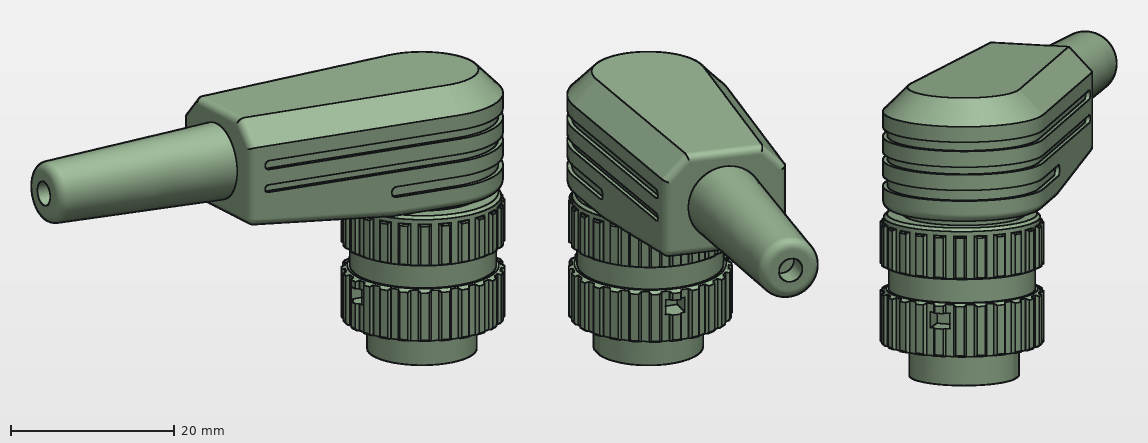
import cadquery as cq
import math


COLLAR_BOTTOM = 4.2
LOWER_KNURL_TOP = 10.8
UPPER_KNURL_BOTTOM = 13.75
UPPER_KNURL_TOP = 19.2
COLLAR_TOP = 20.2
HOUSING_BOTTOM = 21.0
HOUSING_TOP = 36.0

HOUSING_RADIUS = 9.95
SIDE_TAPER = math.radians(4.0)
HOUSING_FRONT = -29.45
TOP_CHAMFER = 3.0
EDGE_ROUND = 0.95
SLOPE_START = -9.4
SLOPE_RISE = 1.85

GROOVE_DEPTH = 0.6
GROOVES = [
    (30.5, 1.15, -27.4),
    (27.45, 0.95, -27.4),
    (24.35, 1.35, -9.95),
]

NECK_DIAMETER = 15.0
PLUG_DIAMETER = 13.5
PLUG_FLAT_WIDTH = 2.3

COLLAR_OFFSET = 0.25
WAIST_DIAMETER = 18.0
ROOT_DIAMETER = 19.2
RIDGE_DIAMETER = 20.05
SHOULDER_CHAMFER = 0.4
WAIST_FACE_DIAMETER = 18.65
WAIST_BEVEL_HEIGHT = 0.3
RIDGE_COUNT = 24
RIDGE_BASE_WIDTH = 1.55
RIDGE_TIP_WIDTH = 1.0
RIDGE_CHAMFER = 0.2

OVERALL_LENGTH = 64.3
CABLE_END = RIDGE_DIAMETER / 2 - OVERALL_LENGTH
CABLE_HEIGHT = 29.2
CABLE_ROOT_DIAMETER = 9.65
CABLE_TIP_DIAMETER = 7.65
CABLE_BORE = 3.0
CABLE_BORE_DEPTH = 3.2
CABLE_TIP_ROUND = 1.2

WINDOW_WIDTH = 2.5
WINDOW_BOTTOM = 7.65
WINDOW_HEIGHT = 1.9


def cylinder(diameter, bottom, top):
    """Vertical cylinder on the housing axis between two heights."""
    return cq.Workplane("XY", origin=(0, 0, bottom)).circle(diameter / 2).extrude(top - bottom)


def housing_prism(radius):
    """Full-height prism: a round end with tangent sides that taper towards the cable."""
    tangent_x = radius * math.cos(SIDE_TAPER)
    tangent_y = -radius * math.sin(SIDE_TAPER)
    front_x = radius / math.cos(SIDE_TAPER) + HOUSING_FRONT * math.tan(SIDE_TAPER)
    return (
        cq.Workplane("XY", origin=(0, 0, HOUSING_BOTTOM))
        .moveTo(front_x, HOUSING_FRONT)
        .lineTo(tangent_x, tangent_y)
        .threePointArc((0, radius), (-tangent_x, tangent_y))
        .lineTo(-front_x, HOUSING_FRONT)
        .close()
        .extrude(HOUSING_TOP - HOUSING_BOTTOM)
    )


def underside_wedge():
    """Material removed so that the underside rises towards the cable."""
    return (
        cq.Workplane("YZ")
        .moveTo(SLOPE_START, HOUSING_BOTTOM)
        .lineTo(HOUSING_FRONT, HOUSING_BOTTOM + SLOPE_RISE)
        .lineTo(HOUSING_FRONT, HOUSING_BOTTOM)
        .close()
        .extrude(2 * HOUSING_RADIUS, both=True)
    )


def make_housing():
    """Housing with chamfered top, rounded lower and front edges, and grip grooves."""
    body = housing_prism(HOUSING_RADIUS).cut(underside_wedge())
    body = body.faces(">Z").edges("not <Y").chamfer(TOP_CHAMFER)
    body = body.newObject(edges_to_round(body)).fillet(EDGE_ROUND)

    core = housing_prism(HOUSING_RADIUS - GROOVE_DEPTH)
    for height, width, end_y in GROOVES:
        body = body.cut(groove_slot(height, width, end_y).cut(core))
    return body


def edges_to_round(body):
    """Edges of the front face and around the underside, without the fold across the underside."""
    faces_down = [face for face in body.faces().vals() if face.normalAt().z < -0.9]
    edges = body.faces("<Y").edges().vals()
    for edge in faces_down[0].Edges() + faces_down[1].Edges():
        shared = any(edge.isSame(known) for known in edges)
        is_fold = edge.geomType() == "LINE" and abs(edge.tangentAt(0).x) > 0.99
        if not shared and not is_fold:
            edges.append(edge)
    return edges


def groove_slot(height, width, end_y):
    """Bar across the housing with a rounded end towards the cable."""
    rear_y = 2 * HOUSING_RADIUS
    half = width / 2
    return (
        cq.Workplane("YZ")
        .moveTo(rear_y, height - half)
        .lineTo(end_y + half, height - half)
        .threePointArc((end_y, height), (end_y + half, height + half))
        .lineTo(rear_y, height + half)
        .close()
        .extrude(2 * HOUSING_RADIUS, both=True)
    )


def make_cable():
    """Tapered sleeve with a rounded tip and a blind bore."""
    length = HOUSING_FRONT - CABLE_END
    root = cq.Workplane("XZ", origin=(0, HOUSING_FRONT, CABLE_HEIGHT))
    sleeve = (
        root.circle(CABLE_ROOT_DIAMETER / 2)
        .workplane(offset=length)
        .circle(CABLE_TIP_DIAMETER / 2)
        .loft()
    )
    sleeve = sleeve.faces("<Y").edges().fillet(CABLE_TIP_ROUND)
    tip = cq.Workplane("XZ", origin=(0, CABLE_END, CABLE_HEIGHT))
    return sleeve.cut(tip.circle(CABLE_BORE / 2).extrude(-CABLE_BORE_DEPTH))


def make_plug():
    """Plug inside the collar, with a narrow flat on the -X side."""
    radius = PLUG_DIAMETER / 2
    flat_distance = math.sqrt(radius**2 - (PLUG_FLAT_WIDTH / 2) ** 2)
    beyond_flat = (
        cq.Workplane("XY")
        .center(-flat_distance - radius, 0)
        .rect(2 * radius, 2 * radius)
        .extrude(COLLAR_BOTTOM)
    )
    return cylinder(PLUG_DIAMETER, 0, LOWER_KNURL_TOP).cut(beyond_flat)


def rim_envelope(waist_height, outer_height):
    """Solid that bevels both rims of a knurled band, given the heights of its two ends."""
    inward = math.copysign(1, outer_height - waist_height)
    radius = RIDGE_DIAMETER / 2
    return (
        cq.Workplane("XZ")
        .moveTo(0, waist_height)
        .lineTo(WAIST_FACE_DIAMETER / 2, waist_height)
        .lineTo(radius, waist_height + inward * WAIST_BEVEL_HEIGHT)
        .lineTo(radius, outer_height - inward * RIDGE_CHAMFER)
        .lineTo(radius - RIDGE_CHAMFER, outer_height)
        .lineTo(0, outer_height)
        .close()
        .revolve(360, (0, 0), (0, 1))
    )


def make_knurled_band(waist_height, outer_height):
    """Band of tapered ridges between its end at the waist and its outer end."""
    bottom = min(waist_height, outer_height)
    top = max(waist_height, outer_height)
    root_y = WAIST_DIAMETER / 2
    base_y = ROOT_DIAMETER / 2
    tip_y = RIDGE_DIAMETER / 2
    base_x = RIDGE_BASE_WIDTH / 2
    tip_x = RIDGE_TIP_WIDTH / 2
    ridge = (
        cq.Workplane("XY", origin=(0, 0, bottom))
        .moveTo(-base_x, root_y)
        .lineTo(-base_x, base_y)
        .lineTo(-tip_x, tip_y)
        .lineTo(tip_x, tip_y)
        .lineTo(base_x, base_y)
        .lineTo(base_x, root_y)
        .close()
        .extrude(top - bottom)
    )
    band = cylinder(ROOT_DIAMETER, bottom, top)
    for index in range(RIDGE_COUNT):
        turn = index * 360 / RIDGE_COUNT
        band = band.union(ridge.rotate((0, 0, 0), (0, 0, 1), turn))
    return band.intersect(rim_envelope(waist_height, outer_height))


def make_collar():
    """Two knurled bands joined by a smooth waist, with two windows in the lower band."""
    windows = (
        cq.Workplane("XY", origin=(0, 0, WINDOW_BOTTOM))
        .rect(WINDOW_WIDTH, 2 * RIDGE_DIAMETER)
        .extrude(WINDOW_HEIGHT)
    )
    lower = make_knurled_band(LOWER_KNURL_TOP, COLLAR_BOTTOM).cut(windows)
    waist = cylinder(WAIST_DIAMETER, LOWER_KNURL_TOP, UPPER_KNURL_BOTTOM)
    upper = make_knurled_band(UPPER_KNURL_BOTTOM, UPPER_KNURL_TOP)
    shoulder = cylinder(ROOT_DIAMETER, UPPER_KNURL_TOP, COLLAR_TOP)
    shoulder = shoulder.faces(">Z").edges().chamfer(SHOULDER_CHAMFER)
    collar = lower.union(waist).union(upper).union(shoulder)
    return collar.translate((COLLAR_OFFSET, 0, 0))


neck = cylinder(NECK_DIAMETER, COLLAR_TOP, HOUSING_BOTTOM)

result = (
    make_housing()
    .union(make_cable())
    .union(neck)
    .union(make_collar())
    .union(make_plug())
)